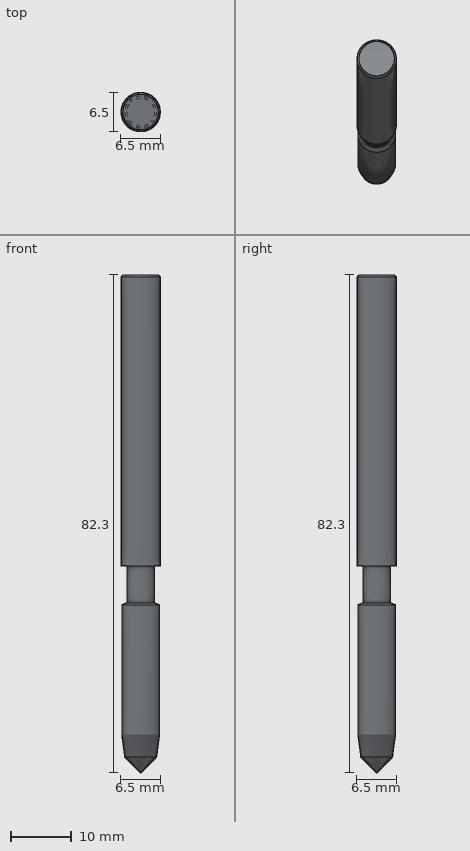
import cadquery as cq

total_length = 82.3
barrel_radius = 3.25
barrel_bottom = 34.2
barrel_chamfer = 0.3

stem_radius = 2.3
head_radius = 3.1
shoulder_bottom = 27.8
shoulder_height = 0.3
taper_top = 6.3
tip_radius = 2.6
tip_height = tip_radius


def make_barrel():
    """Plain round barrel with a chamfered upper rim."""
    barrel = (
        cq.Workplane("XY")
        .workplane(offset=barrel_bottom)
        .circle(barrel_radius)
        .extrude(total_length - barrel_bottom)
    )
    return barrel.faces(">Z").chamfer(barrel_chamfer)


def make_plunger():
    """Revolved stem, sloped shoulder, head, taper and conical tip; the stem ends at the barrel."""
    half_profile = (
        cq.Workplane("XZ")
        .moveTo(0, 0)
        .lineTo(tip_radius, tip_height)
        .lineTo(head_radius, taper_top)
        .lineTo(head_radius, shoulder_bottom)
        .lineTo(stem_radius, shoulder_bottom + shoulder_height)
        .lineTo(stem_radius, barrel_bottom)
        .lineTo(0, barrel_bottom)
        .close()
    )
    return half_profile.revolve(360, (0, 0), (0, 1))


barrel = make_barrel()
plunger = make_plunger()

result = cq.Compound.makeCompound([barrel.val(), plunger.val()])